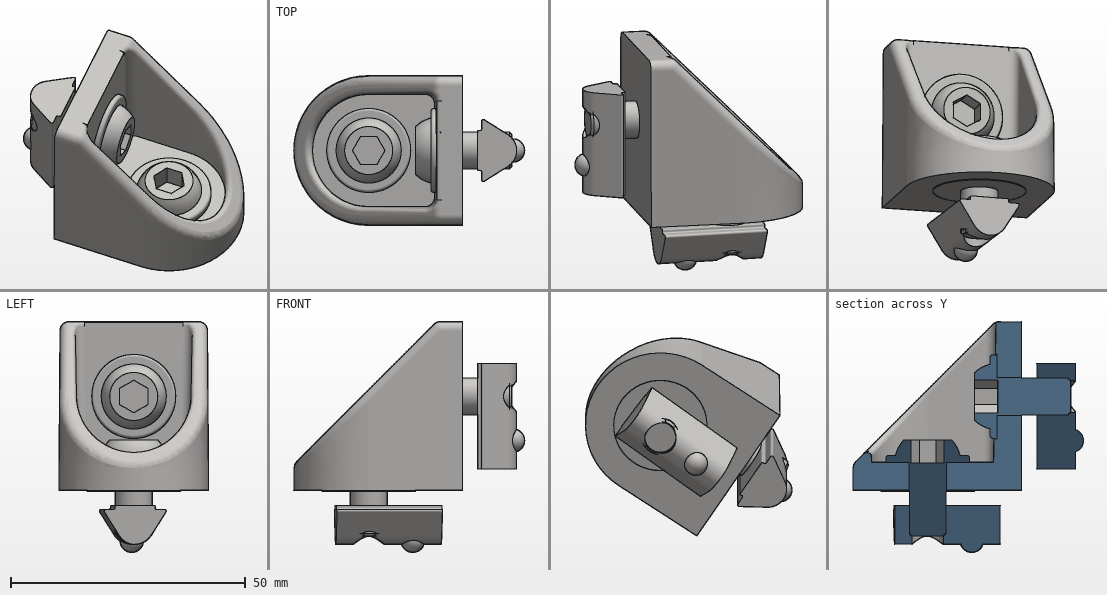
import cadquery as cq
import math


SLOPE = cq.selectors.ParallelDirSelector(cq.Vector(-1, 0, 1))

bracket_length = 36.0
bracket_width = 32.0
axis_offset = bracket_length - bracket_width / 2
rim_start = 5.5
outer_draft = 0.4
rim_outer_radius = 1.95
cavity_width = 23.95
floor_thickness = 6.0
back_thickness = 6.0
cavity_draft = 1.0
cavity_corner_radius = 1.95
rim_inner_radius = 1.0
cavity_height = bracket_length - floor_thickness
cavity_flare = cavity_height * math.tan(math.radians(cavity_draft))

shank_diameter = 8.0
shank_length = 15.75
shank_chamfer = 0.55
flange_diameter = 17.95
flange_height = 1.5
flange_edge_radius = 0.6
dome_diameter = 13.9
dome_top_diameter = 10.25
head_height = 4.8
socket_width = 6.0
socket_depth = 4.95
wall_seat = 5.25

nut_gap = 3.2
nut_length = 22.5
nut_short_end = 7.05
neck_half_width = 4.3
neck_height = 0.85
neck_edge_radius = 0.25
neck_root_radius = 0.3
wing_tip_radius = 0.4
flank_angle = 32.2
nose_radius = 4.05
nose_tip = 11.55
nut_bore_diameter = 6.65
floor_nut_turn = 2.6
ball_radius = 2.5
ball_tip = 13.25
ball_spacing = 9.4

spacer_diameter = 19.9
spacer_thickness = 0.2


def d_outline(plane_z, front_radius, back_x):
    """Half-round outline about the floor screw axis, squared off at back_x."""
    return (
        cq.Workplane("XY", origin=(0, 0, plane_z))
        .moveTo(back_x, -front_radius)
        .lineTo(-axis_offset, -front_radius)
        .threePointArc((-axis_offset - front_radius, 0), (-axis_offset, front_radius))
        .lineTo(back_x, front_radius)
        .close()
    )


def make_envelope():
    """Outer form of the bracket, with its rim edges rounded."""
    past_back = bracket_width / 2
    drafted = d_outline(0, bracket_width / 2, past_back).extrude(bracket_length, taper=outer_draft)
    front = -bracket_length
    side = (
        cq.Workplane("XZ")
        .polyline([
            (0, 0),
            (front, 0),
            (front, rim_start),
            (-rim_start, bracket_length),
            (0, bracket_length),
        ])
        .close()
        .extrude(bracket_width, both=True)
    )
    body = drafted.intersect(side)
    slope_edges = body.faces(SLOPE).edges()
    top_ends = body.faces(">Z").edges("|X")
    return slope_edges.add(top_ends).fillet(rim_outer_radius)


def make_cavity():
    """Pocket that narrows downward to the floor, with rounded rear corners."""
    pocket = d_outline(bracket_length, cavity_width / 2 + cavity_flare, cavity_flare - back_thickness)
    pocket = pocket.extrude(-cavity_height, taper=cavity_draft)
    rear_corners = pocket.faces(">X").edges("not |Y")
    return rear_corners.fillet(cavity_corner_radius)


def make_back_wall():
    """Flat part of the wall behind the cavity, up to its sharp top edge."""
    half_width = cavity_width / 2 + cavity_flare - cavity_corner_radius
    return (
        cq.Workplane("XZ")
        .polyline([
            (0, floor_thickness),
            (-back_thickness, floor_thickness),
            (cavity_flare - back_thickness, bracket_length),
            (0, bracket_length),
        ])
        .close()
        .extrude(half_width, both=True)
    )


def make_bracket():
    """Hollow corner bracket with holes and a seat recess for the two screws."""
    envelope = make_envelope()
    body = envelope.cut(make_cavity())
    inner_rim_front = body.faces(SLOPE).edges("%ELLIPSE").edges("<X")
    body = inner_rim_front.fillet(rim_inner_radius)
    body = body.union(envelope.intersect(make_back_wall()))

    floor_hole = cq.Workplane("XY").circle(shank_diameter / 2).extrude(floor_thickness)
    floor_hole = floor_hole.translate((-axis_offset, 0, 0))
    wall_hole = (
        cq.Workplane("YZ", origin=(-wall_seat, 0, axis_offset))
        .circle(shank_diameter / 2)
        .extrude(wall_seat)
    )
    wall_recess = (
        cq.Workplane("YZ", origin=(-wall_seat, 0, axis_offset))
        .circle(flange_diameter / 2)
        .extrude(-flange_height)
    )
    return body.cut(floor_hole).cut(wall_hole).cut(wall_recess)


def make_screw():
    """Screw along Z with its seat at Z = 0 and its shank below."""
    flange = cq.Workplane("XY").circle(flange_diameter / 2).extrude(flange_height)
    flange = flange.faces(">Z").edges().fillet(flange_edge_radius)

    base_radius = dome_diameter / 2
    top_radius = dome_top_diameter / 2
    dome_height = head_height - flange_height
    centre = (top_radius**2 + dome_height**2 - base_radius**2) / (2 * dome_height)
    sphere_radius = math.hypot(base_radius, centre)
    dome = (
        cq.Workplane("XY")
        .sphere(sphere_radius)
        .translate((0, 0, flange_height + centre))
        .intersect(
            cq.Workplane("XY", origin=(0, 0, flange_height)).circle(base_radius).extrude(dome_height)
        )
    )

    shank = cq.Workplane("XY").circle(shank_diameter / 2).extrude(-shank_length)
    shank = shank.faces("<Z").edges().chamfer(shank_chamfer)
    socket = (
        cq.Workplane("XY", origin=(0, 0, head_height))
        .polygon(6, socket_width / math.cos(math.pi / 6))
        .extrude(-socket_depth)
    )
    return flange.union(dome).union(shank).cut(socket)


def make_nut_bar():
    """Nut along X below the XY plane, with its screw axis on Z and no hole yet."""
    angle = math.radians(flank_angle)
    apex = nose_tip - nose_radius + nose_radius / math.sin(angle)
    wing = nut_gap + neck_height
    wing_half_width = (apex - wing) * math.tan(angle)
    bar = (
        cq.Workplane("YZ", origin=(-nut_short_end, 0, 0))
        .polyline([
            (-neck_half_width, -nut_gap),
            (-neck_half_width, -wing),
            (-wing_half_width, -wing),
            (0, -apex),
            (wing_half_width, -wing),
            (neck_half_width, -wing),
            (neck_half_width, -nut_gap),
        ])
        .close()
        .extrude(nut_length)
    )
    bar = bar.edges("|X").edges("<Z").fillet(nose_radius)
    bar = bar.edges("|X").edges("<Y or >Y").fillet(wing_tip_radius)
    bar = bar.edges("|X").edges(">Z").fillet(neck_edge_radius)
    middle_x = nut_length / 2 - nut_short_end
    for side in (-1, 1):
        root = cq.selectors.NearestToPointSelector((middle_x, side * neck_half_width, -wing))
        bar = bar.edges(root).fillet(neck_root_radius)
    return bar


def make_nut(screw):
    """Nut with its ball, bored for the screw that ends inside it."""
    ball = cq.Workplane("XY").sphere(ball_radius).translate((ball_spacing, 0, ball_radius - ball_tip))
    bore = cq.Workplane("XY").circle(nut_bore_diameter / 2).extrude(-ball_tip)
    return make_nut_bar().union(ball).cut(bore).cut(screw)


def on_floor(body):
    """Move a body whose screw axis is Z to the floor screw axis."""
    return body.translate((-axis_offset, 0, 0))


def on_wall(body):
    """Turn a body so that its screw axis points out of the back face and its long end down."""
    turned = body.rotate((0, 0, 0), (0, 0, 1), 180).rotate((0, 0, 0), (0, 1, 0), -90)
    return turned.translate((0, 0, axis_offset))


def make_spacer():
    """Thin disc under the bracket, around the floor screw."""
    return (
        cq.Workplane("XY", origin=(-axis_offset, 0, 0))
        .circle(spacer_diameter / 2)
        .circle(shank_diameter / 2)
        .extrude(-spacer_thickness)
    )


bracket = make_bracket()
spacer = make_spacer()

fastenings = [
    (on_floor, floor_thickness, floor_nut_turn),
    (on_wall, wall_seat, 0),
]
screws = []
nuts = []
for place, seat, nut_turn in fastenings:
    screw = make_screw().translate((0, 0, seat))
    nut = make_nut(screw).rotate((0, 0, 0), (0, 0, 1), nut_turn)
    screws.append(place(screw).val())
    nuts.append(place(nut).val())

result = cq.Compound.makeCompound([bracket.val(), spacer.val(), *screws, *nuts])